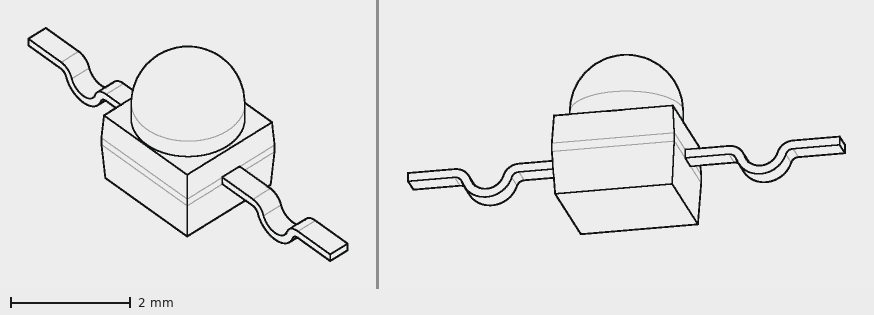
import cadquery as cq
import math

body_length = 2.1
body_width = 2.0
body_height = 1.4
band_bottom = 0.75
draft_angle = 3.5

lens_radius = 0.95
total_height = 2.7
lens_equator = total_height - lens_radius

lead_thickness = 0.15
lead_width = 0.4
lead_tip = 3.7
dip_start = 1.8
dip_end = 2.9
dip_depth = 0.4
dip_bottom_radius = 0.375

band_top = band_bottom + lead_thickness
lead_middle = band_bottom + lead_thickness / 2

dip_center = (dip_start + dip_end) / 2
dip_half_span = (dip_end - dip_start) / 2
dip_angle = 2 * math.atan(dip_depth / dip_half_span)
shoulder_radius = dip_half_span / math.sin(dip_angle) - dip_bottom_radius
shoulder_center_z = lead_middle - shoulder_radius
dip_bottom_center_z = lead_middle - dip_depth + dip_bottom_radius


def make_block(height):
    """Block that tapers as it rises from the XY plane."""
    return cq.Workplane("XY").rect(body_length, body_width).extrude(height, taper=draft_angle)


def make_body():
    band = (
        cq.Workplane("XY", origin=(0, 0, band_bottom))
        .rect(body_length, body_width)
        .extrude(lead_thickness)
    )
    upper = make_block(body_height - band_top).translate((0, 0, band_top))
    lower = make_block(band_bottom).mirror("XY").translate((0, 0, band_bottom))
    return band.union(upper).union(lower)


def make_lens():
    """Half profile of the lens turned about Z."""
    arc_offset = lens_radius * math.sqrt(0.5)
    return (
        cq.Workplane("XZ")
        .moveTo(0, band_top)
        .lineTo(lens_radius, band_top)
        .lineTo(lens_radius, lens_equator)
        .threePointArc((arc_offset, lens_equator + arc_offset), (0, total_height))
        .close()
        .revolve(360, (0, 0, 0), (0, 1, 0))
    )


def shoulder_point(shoulder_x, side, radius, angle):
    """Point on a shoulder arc; side is +1 when the arc bends towards +X."""
    x = shoulder_x + side * radius * math.sin(angle)
    z = shoulder_center_z + radius * math.cos(angle)
    return (x, z)


def trace_dip(profile, offset, side):
    """Add one face of the dip, offset from mid-thickness, running towards +X (side +1) or -X."""
    first_x = dip_center - side * dip_half_span
    last_x = dip_center + side * dip_half_span
    radius = shoulder_radius + offset
    bottom = (dip_center, dip_bottom_center_z - dip_bottom_radius + offset)
    return (
        profile.lineTo(first_x, lead_middle + offset)
        .threePointArc(
            shoulder_point(first_x, side, radius, dip_angle / 2),
            shoulder_point(first_x, side, radius, dip_angle),
        )
        .threePointArc(bottom, shoulder_point(last_x, -side, radius, dip_angle))
        .threePointArc(
            shoulder_point(last_x, -side, radius, dip_angle / 2),
            (last_x, lead_middle + offset),
        )
    )


def make_lead():
    """Lead on the +X side, from the body centre to its tip."""
    half_thickness = lead_thickness / 2
    profile = cq.Workplane("XZ").moveTo(0, band_top)
    profile = trace_dip(profile, half_thickness, 1)
    profile = profile.lineTo(lead_tip, band_top).lineTo(lead_tip, band_bottom)
    profile = trace_dip(profile, -half_thickness, -1)
    profile = profile.lineTo(0, band_bottom).close()
    return profile.extrude(lead_width / 2, both=True)


lead = make_lead()
result = make_body().union(make_lens()).union(lead).union(lead.mirror("YZ"))